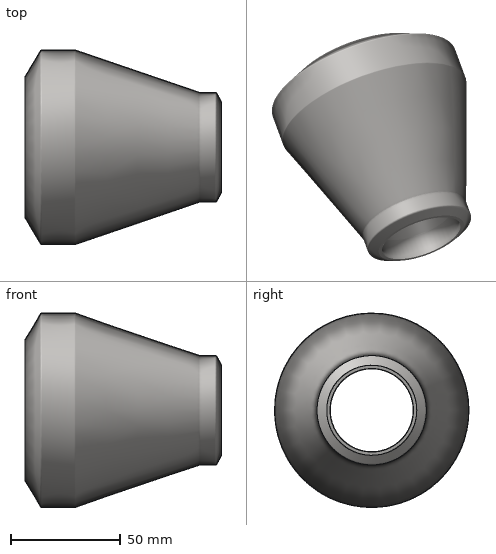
import cadquery as cq

length = 90.0
large_radius = 88.9 / 2
small_radius = 50.0 / 2
large_bore_radius = 60.5 / 2
small_bore_radius = 38.0 / 2

large_collar = 23.0
small_collar = 10.0

large_land = 1.9
large_bevel = 7.4
small_land = 1.6
small_bevel = 2.4

large_bore_depth = 15.4
edge_round = 1.0

mouth_break = 0.3

cone_start = large_collar
cone_end = length - small_collar

profile = [
    (mouth_break, large_bore_radius),
    (0, large_bore_radius + mouth_break),
    (0, large_bore_radius + large_land),
    (large_bevel, large_radius),
    (cone_start, large_radius),
    (cone_end, small_radius),
    (length - small_bevel, small_radius),
    (length, small_bore_radius + small_land),
    (length, small_bore_radius),
    (cone_end, small_bore_radius),
    (large_bore_depth, large_bore_radius),
]

body = cq.Workplane("XY").polyline(profile).close().revolve(360, (0, 0, 0), (1, 0, 0))


def outer_edge(x, radius):
    """Selector for the circular edge of the given radius at position x."""
    margin = 0.1
    reach = radius + margin
    return cq.selectors.BoxSelector(
        (x - margin, -reach, -reach), (x + margin, reach, reach), boundingbox=True
    )


largest_circle = cq.selectors.RadiusNthSelector(-1)
rounded_edges = [
    (large_bevel, large_radius),
    (cone_start, large_radius),
    (cone_end, small_radius),
    (length - small_bevel, small_radius),
]
for x, radius in rounded_edges:
    body = body.edges(outer_edge(x, radius)).edges(largest_circle).fillet(edge_round)

result = body